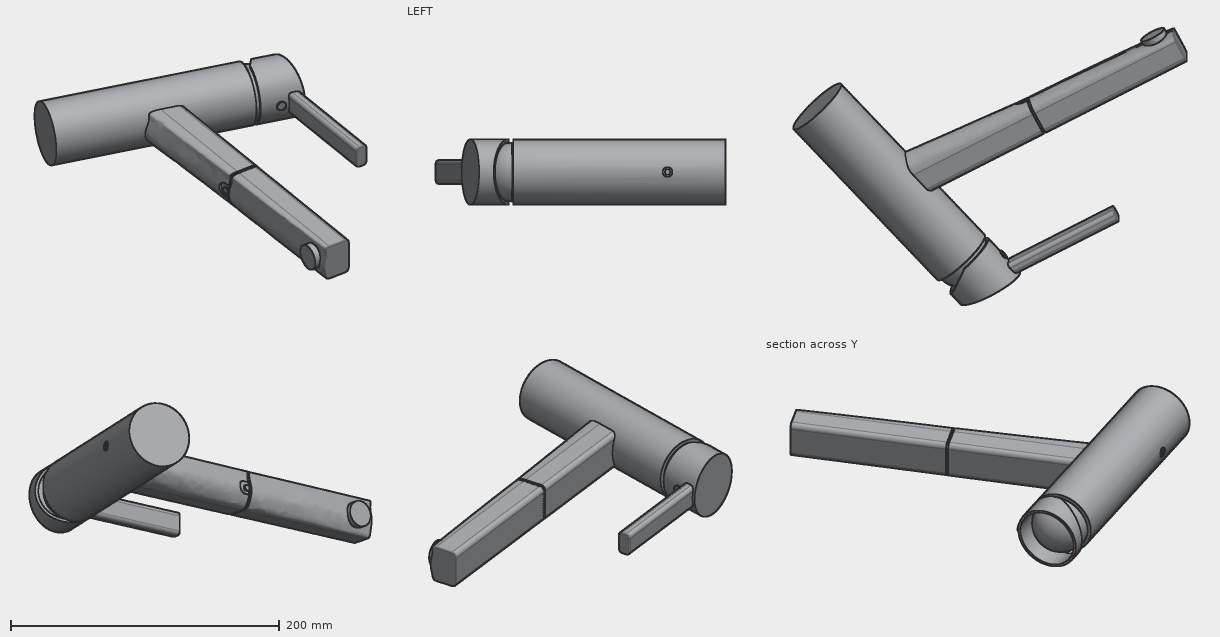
import cadquery as cq
import math

COLUMN_DIAMETER = 49.0
COLUMN_RADIUS = COLUMN_DIAMETER / 2
COLUMN_TOP = 158.5
NECK_GAP = 0.8
NECK_BASE = COLUMN_TOP + NECK_GAP
NECK_RADIUS = 22.0
STEM_RADIUS = 13.0

SCREW_Y = 43.2
SCREW_DIAMETER = 7.2
SCREW_SEAT_DEPTH = 1.0
HEX_DIAMETER = 4.5
HEX_DEPTH = 3.0

TILT = 15.0

SPOUT_TOP_Y = 97.9
SPOUT_WIDTH = 29.8
SPRAY_WIDTH = 29.5
SPOUT_TOP_FILLET = 4.0
SPOUT_FLAT_DEPTH = 18.0
BELLY_STEPS = 4
ROOT_STATION = 7.8
JOINT_STATION = 116.0
JOINT_GROOVE_WIDTH = 1.5
JOINT_GROOVE_INSET = 0.8
BEND_STATION = 204.5
END_STATION = 236.6
ROOT_DEPTH = 33.5
JOINT_DEPTH = 27.5
BEND_DEPTH = 24.5
END_DEPTH = 23.0
END_FILLET = 0.65

NOZZLE_STATION = 222.0
NOZZLE_DIAMETER = 19.7
NOZZLE_BOTTOM = 27.5

RECESS_RADIUS = 5.0
RECESS_CENTRE = JOINT_STATION - 5.0
RECESS_DEPTH = 1.3
BUTTON_RADIUS = 2.2
BUTTON_CENTRE = JOINT_STATION - 2.8
CUTTER_OVERSHOOT = 2.5

CAP_BOTTOM = NECK_BASE + 2.5
CAP_BACK_BOTTOM = 173.0
CAP_TOP_CENTRE_Y = 190.3
CAP_BORE_RADIUS = NECK_RADIUS + 0.3
CAP_BORE_TOP = NECK_BASE + NECK_RADIUS + 1.0
PLUG_DIAMETER = 7.2
PLUG_Y = 178.1
PLUG_PROJECTION = 0.8

LEVER_END = (108.0, 211.8)
LEVER_THICKNESS = 9.8
LEVER_WIDTH = 18.0
LEVER_CORNER = 3.24
LEVER_END_FILLET = 0.8
LEVER_ROOT_X = 13.0

TILT_RAD = math.radians(TILT)
ALONG = cq.Vector(math.cos(TILT_RAD), math.sin(TILT_RAD), 0)
UPWARD = cq.Vector(-math.sin(TILT_RAD), math.cos(TILT_RAD), 0)
SIDEWAYS = UPWARD.cross(ALONG)


def spout_point(station, depth):
    """Point in the middle plane, 'depth' below the spout's top line."""
    return cq.Vector(0, SPOUT_TOP_Y, 0) + ALONG * station - UPWARD * depth


def spout_section(station, depth, width, inset=0.0):
    """Cross-section wire: filleted flat top, straight sides, half-ellipse belly."""
    plane = cq.Plane(origin=spout_point(station, 0), xDir=SIDEWAYS, normal=ALONG)
    half = width / 2 - inset
    top = -inset
    shoulder = top - SPOUT_TOP_FILLET
    shelf = half - SPOUT_TOP_FILLET
    belly_depth = depth - inset - SPOUT_FLAT_DEPTH
    belly_angles = [math.pi * step / BELLY_STEPS for step in range(BELLY_STEPS + 1)]
    belly = [
        (half * math.cos(angle), -SPOUT_FLAT_DEPTH - belly_depth * math.sin(angle))
        for angle in belly_angles
    ]
    section = (
        cq.Workplane(plane)
        .moveTo(-shelf, top)
        .lineTo(shelf, top)
        .radiusArc((half, shoulder), SPOUT_TOP_FILLET)
        .lineTo(*belly[0])
        .spline(
            belly[1:],
            tangents=[(0, -1), (0, 1)],
            includeCurrent=True,
        )
        .lineTo(-half, shoulder)
        .radiusArc((-shelf, top), SPOUT_TOP_FILLET)
        .close()
    )
    return section.val()


def loft(sections):
    """Solid running smoothly through the sections in order."""
    return cq.Workplane(obj=cq.Solid.makeLoft(sections))


def make_column():
    """Column, stem and hemispherical neck, revolved about the Y axis."""
    neck_shoulder = NECK_RADIUS * math.sin(math.radians(45))
    return (
        cq.Workplane("XY")
        .lineTo(COLUMN_RADIUS, 0)
        .lineTo(COLUMN_RADIUS, COLUMN_TOP)
        .lineTo(STEM_RADIUS, COLUMN_TOP)
        .lineTo(STEM_RADIUS, NECK_BASE)
        .lineTo(NECK_RADIUS, NECK_BASE)
        .threePointArc((neck_shoulder, NECK_BASE + neck_shoulder), (0, NECK_BASE + NECK_RADIUS))
        .close()
        .revolve(360, (0, 0, 0), (0, 1, 0))
    )


def make_screw_seat():
    """Cutter for the round seat and its hexagonal socket."""
    wall = cq.Workplane("YZ", origin=(-COLUMN_RADIUS, SCREW_Y, 0))
    seat = wall.circle(SCREW_DIAMETER / 2).extrude(SCREW_SEAT_DEPTH)
    socket = wall.polygon(6, HEX_DIAMETER).extrude(HEX_DEPTH)
    return seat.union(socket)


def make_u_tool(centre, radius, depth):
    """U-shaped cutter rising from under the spout, open toward the joint."""
    plane = cq.Plane(
        origin=spout_point(centre, JOINT_DEPTH + CUTTER_OVERSHOOT),
        xDir=ALONG,
        normal=UPWARD,
    )
    reach = JOINT_STATION - centre
    return (
        cq.Workplane(plane)
        .moveTo(reach, radius)
        .lineTo(0, radius)
        .threePointArc((-radius, 0), (0, -radius))
        .lineTo(reach, -radius)
        .close()
        .extrude(depth + CUTTER_OVERSHOOT)
    )


def make_spout():
    """Fixed arm, joint groove, spray head and outlet nozzle."""
    arm = loft([
        spout_section(ROOT_STATION, ROOT_DEPTH, SPOUT_WIDTH),
        spout_section(JOINT_STATION, JOINT_DEPTH, SPOUT_WIDTH),
    ])
    recess = make_u_tool(RECESS_CENTRE, RECESS_RADIUS, RECESS_DEPTH)
    button = make_u_tool(BUTTON_CENTRE, BUTTON_RADIUS, RECESS_DEPTH)
    arm = arm.cut(recess.cut(button))

    spray_station = JOINT_STATION + JOINT_GROOVE_WIDTH
    joint = loft([
        spout_section(JOINT_STATION, JOINT_DEPTH, SPRAY_WIDTH, JOINT_GROOVE_INSET),
        spout_section(spray_station, JOINT_DEPTH, SPRAY_WIDTH, JOINT_GROOVE_INSET),
    ])
    spray = loft([
        spout_section(spray_station, JOINT_DEPTH, SPRAY_WIDTH),
        spout_section(BEND_STATION, BEND_DEPTH, SPRAY_WIDTH),
        spout_section(END_STATION, END_DEPTH, SPRAY_WIDTH),
    ])
    spray = spray.faces(cq.selectors.DirectionMinMaxSelector(ALONG)).edges().fillet(END_FILLET)

    nozzle_plane = cq.Plane(
        origin=spout_point(NOZZLE_STATION, NOZZLE_BOTTOM),
        xDir=ALONG,
        normal=UPWARD,
    )
    nozzle = (
        cq.Workplane(nozzle_plane)
        .circle(NOZZLE_DIAMETER / 2)
        .extrude(NOZZLE_BOTTOM - SPOUT_FLAT_DEPTH)
    )
    return arm.union(joint).union(spray).union(nozzle)


def make_cap():
    """Cap with its sloped top, cut-away underside and small round plug."""
    slope_rise = COLUMN_RADIUS * math.tan(TILT_RAD)
    profile = (
        cq.Workplane("XY")
        .polyline([
            (0, CAP_BOTTOM),
            (COLUMN_RADIUS, CAP_BOTTOM),
            (COLUMN_RADIUS, CAP_TOP_CENTRE_Y + slope_rise),
            (-COLUMN_RADIUS, CAP_TOP_CENTRE_Y - slope_rise),
            (-COLUMN_RADIUS, CAP_BACK_BOTTOM),
        ])
        .close()
        .extrude(COLUMN_RADIUS, both=True)
    )
    cylinder_height = CAP_TOP_CENTRE_Y + slope_rise
    cylinder = cq.Workplane("XZ").circle(COLUMN_RADIUS).extrude(-cylinder_height)
    plug = (
        cq.Workplane("YZ", origin=(0, PLUG_Y, 0))
        .circle(PLUG_DIAMETER / 2)
        .extrude(COLUMN_RADIUS + PLUG_PROJECTION)
    )
    return profile.intersect(cylinder).union(plug)


def make_lever():
    """Rounded bar rising from the +X side of the cap."""
    end = cq.Vector(LEVER_END[0], LEVER_END[1], 0)
    length = (LEVER_END[0] - LEVER_ROOT_X) / math.cos(TILT_RAD)
    plane = cq.Plane(origin=end, xDir=SIDEWAYS, normal=ALONG)
    return (
        cq.Workplane(plane)
        .rect(LEVER_WIDTH, LEVER_THICKNESS)
        .extrude(-length)
        .edges(cq.selectors.ParallelDirSelector(ALONG))
        .fillet(LEVER_CORNER)
        .faces(cq.selectors.DirectionMinMaxSelector(ALONG))
        .edges()
        .fillet(LEVER_END_FILLET)
    )


def make_handle():
    """Cap and lever in one piece, bored out to clear the neck."""
    bore = cq.Workplane("XZ").circle(CAP_BORE_RADIUS).extrude(-CAP_BORE_TOP)
    return make_cap().union(make_lever()).cut(bore)


faucet_body = make_column().union(make_spout()).cut(make_screw_seat())
handle = make_handle()

result = cq.Compound.makeCompound([faucet_body.val(), handle.val()])